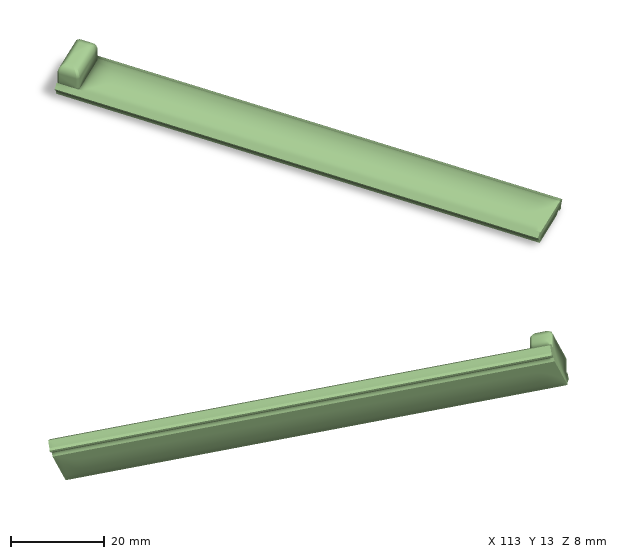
import cadquery as cq
import math

length = 113.0
width = 13.0
half_width = width / 2
tip_height = 2.1
crest_height = 3.2
crest_half_width = half_width - (crest_height - tip_height)
lip_width = 0.2
lip_height = 0.5
base_height = crest_height - lip_height
foot_half_width = 5.6
foot_height = 0.7

groove_depth = 0.6
groove_outer = 5.1
groove_floor_inner = 4.1
groove_mouth_inner = 3.4

total_height = 8.0
block_length = 5.1
block_width = 10.6
block_round = 2.0
corner_chamfer = 0.5


def make_base():
    """Extrude the strip's cross-section along X."""
    plus_y_side = [
        (foot_half_width, 0),
        (foot_half_width, foot_height),
        (half_width, tip_height),
        (crest_half_width, crest_height),
        (crest_half_width - lip_width, base_height),
    ]
    minus_y_side = [(-y, z) for y, z in reversed(plus_y_side)]
    groove = [
        (groove_mouth_inner, 0),
        (groove_floor_inner, groove_depth),
        (groove_outer, groove_depth),
        (groove_outer, 0),
    ]
    section = plus_y_side + minus_y_side + groove
    return cq.Workplane("YZ").polyline(section).close().extrude(length)


def make_rounded_bar(half_span, round_run, angle):
    """Bar across the block, turned about Z, its top edges rounded over round_run by block_round."""
    spring_height = total_height - block_round
    bar_length = 2 * block_width
    core = cq.Workplane("XY").box(2 * (half_span - round_run), bar_length, total_height - base_height)
    core = core.translate((0, 0, (total_height + base_height) / 2))
    body = cq.Workplane("XY").box(2 * half_span, bar_length, spring_height - base_height)
    body = body.translate((0, 0, (spring_height + base_height) / 2))
    bar = core.union(body)
    for side in (-1, 1):
        round_center = (side * (half_span - round_run), bar_length / 2, spring_height)
        edge_round = cq.Workplane("XZ", origin=round_center)
        if round_run > block_round:
            edge_round = edge_round.ellipse(round_run, block_round)
        else:
            edge_round = edge_round.circle(block_round)
        bar = bar.union(edge_round.extrude(bar_length))
    return bar.rotate((0, 0, 0), (0, 0, 1), angle)


def make_block():
    """Block rounded on all four sides, with a bevel along each corner and mitre."""
    diagonal = math.sqrt(2)
    bevel_half_span = (block_length / 2 + block_width / 2 - corner_chamfer) / diagonal
    block = make_rounded_bar(block_length / 2, block_round, 0)
    block = block.intersect(make_rounded_bar(block_width / 2, block_round, 90))
    for angle in (45, -45):
        block = block.intersect(make_rounded_bar(bevel_half_span, block_round * diagonal, angle))
    return block.translate((block_length / 2, 0, 0))


result = make_base().union(make_block())